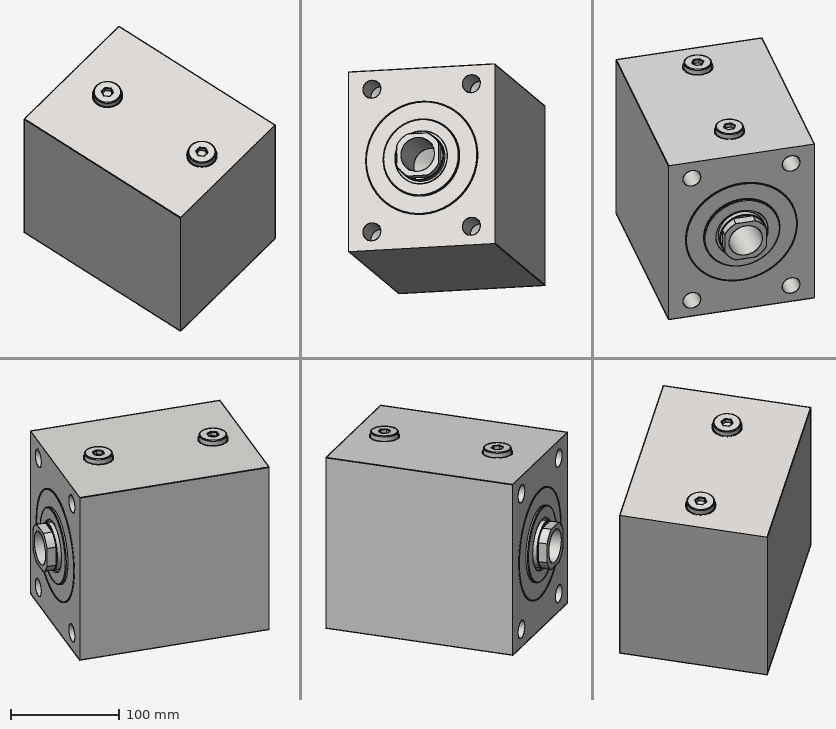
import cadquery as cq
import math

overall_length = 200.0
rod_reach = 14.8
block_width = 140.0
block_height = 170.2
long_edge_chamfer = 0.5
block_length = overall_length - rod_reach

mount_spacing_y = 95.0
mount_spacing_z = 135.0
mount_diameter = 17.0
mount_depth = 30.0
drill_point_angle = 118.0

flange_diameter = 107.0
flange_depth = 20.0
flange_chamfer = 0.8
boss_diameter = 72.8
boss_height = 2.5
boss_chamfer = 0.8
lip_diameter = 50.0
lip_depth = 2.0

rod_diameter = 44.8
rod_shoulder_chamfer = 0.5
tip_diameter = 44.2
tip_length = 8.8
tip_flats = 40.0
rod_bore_diameter = 32.0
rod_bore_depth = 48.0
rod_end_x = 60.0

plug_spacing = 112.0
first_plug_offset = 42.5
plug_head_diameter = 25.8
plug_head_height = 4.8
plug_chamfer = 0.8
spotface_diameter = 28.0
spotface_depth = 1.0
plug_shank_diameter = 21.0
plug_shank_length = 12.0
hex_flats = 8.8
hex_depth = 4.0
hex_chamfer = 0.5
hex_chamfer_angle = 45.0
hex_sides = 6

hex_corner_ratio = 1 / math.cos(math.pi / hex_sides)

tip_x = -rod_reach
boss_face_x = -boss_height
shoulder_x = tip_x + tip_length
block_top = block_height / 2
plug_top = block_top + plug_head_height
plug_seat_z = block_top - spotface_depth
plug_places = [first_plug_offset, first_plug_offset + plug_spacing]


def cylinder_x(diameter, start, end):
    """Cylinder on the rod axis between two X positions."""
    return cq.Workplane("YZ", origin=(start, 0, 0)).circle(diameter / 2).extrude(end - start)


def drilled_hole_x(diameter, start, depth):
    """Drill shape entering along +X from X = start, with a conical point."""
    radius = diameter / 2
    point = radius / math.tan(math.radians(drill_point_angle / 2))
    return (
        cq.Workplane("XY", origin=(start, 0, 0))
        .polyline([(0, 0), (0, radius), (depth, radius), (depth + point, 0)])
        .close()
        .revolve(360, (0, 0, 0), (1, 0, 0))
    )


def make_block():
    block = (
        cq.Workplane("XY")
        .box(block_length, block_width, block_height, centered=(False, True, True))
        .edges("|X").chamfer(long_edge_chamfer)
    )
    mount_hole = drilled_hole_x(mount_diameter, 0, mount_depth)
    for side_y in (-1, 1):
        for side_z in (-1, 1):
            place = (0, side_y * mount_spacing_y / 2, side_z * mount_spacing_z / 2)
            block = block.cut(mount_hole.translate(place))
    block = block.cut(cylinder_x(flange_diameter, 0, flange_depth))
    block = block.cut(cylinder_x(rod_diameter, 0, rod_end_x))
    for x in plug_places:
        seat = (
            cq.Workplane("XY", origin=(x, 0, plug_seat_z))
            .circle(plug_shank_diameter / 2)
            .extrude(-plug_shank_length)
        )
        spotface = (
            cq.Workplane("XY", origin=(x, 0, plug_seat_z))
            .circle(spotface_diameter / 2)
            .extrude(spotface_depth)
        )
        block = block.cut(seat).cut(spotface)
    return block


def make_gland():
    flange = cylinder_x(flange_diameter, 0, flange_depth).faces("<X").chamfer(flange_chamfer)
    boss = cylinder_x(boss_diameter, boss_face_x, 0).faces("<X").chamfer(boss_chamfer)
    gland = flange.union(boss)
    gland = gland.cut(cylinder_x(lip_diameter, boss_face_x, boss_face_x + lip_depth))
    return gland.cut(cylinder_x(rod_diameter, boss_face_x, flange_depth))


def make_rod():
    shank = cylinder_x(rod_diameter, shoulder_x, rod_end_x).faces("<X").chamfer(rod_shoulder_chamfer)
    square = cq.Workplane("YZ", origin=(tip_x, 0, 0)).rect(tip_flats, tip_flats).extrude(tip_length)
    tip = cylinder_x(tip_diameter, tip_x, shoulder_x).intersect(square)
    return shank.union(tip).cut(drilled_hole_x(rod_bore_diameter, tip_x, rod_bore_depth))


def make_plug(x):
    head = (
        cq.Workplane("XY", origin=(x, 0, plug_seat_z))
        .circle(plug_head_diameter / 2)
        .extrude(spotface_depth + plug_head_height)
        .faces(">Z").chamfer(plug_chamfer)
    )
    shank = (
        cq.Workplane("XY", origin=(x, 0, plug_seat_z))
        .circle(plug_shank_diameter / 2)
        .extrude(-plug_shank_length)
    )
    hex_plane = cq.Workplane("XY", origin=(x, 0, plug_top)).transformed(rotate=(0, 0, 90))
    hex_socket = hex_plane.polygon(hex_sides, hex_flats * hex_corner_ratio).extrude(-hex_depth)
    rim_flats = hex_flats + 2 * hex_chamfer
    rim_outline = hex_plane.polygon(hex_sides, rim_flats * hex_corner_ratio)
    socket_rim = rim_outline.extrude(-hex_chamfer, taper=hex_chamfer_angle)
    return head.union(shank).cut(hex_socket).cut(socket_rim)


block = make_block()
gland = make_gland()
rod = make_rod()
plugs = [make_plug(x) for x in plug_places]

result = cq.Compound.makeCompound([block.val(), gland.val(), rod.val(), *[plug.val() for plug in plugs]])